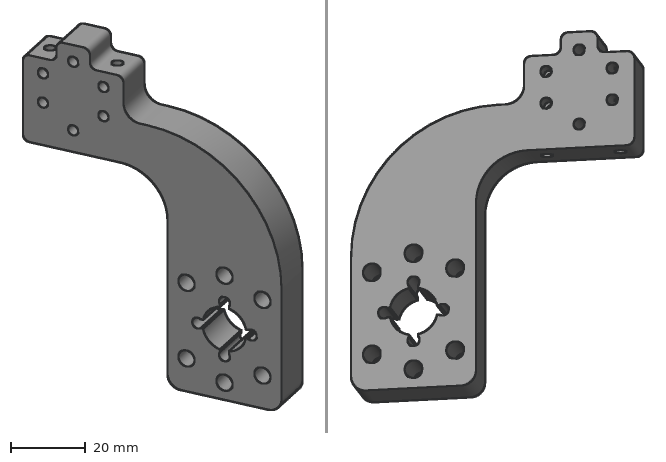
import cadquery as cq
import math

total_length = 77.05
total_height = 96.0
thickness = 12.7

head_width = 30.0
head_bottom = 64.0
tab_width = 10.0
tab_height = 6.0
head_radius = 2.0

leg_width = 34.0
arm_top = 77.0
outer_bend_radius = 40.0
inner_bend_radius = 14.0
neck_radius = 5.0
foot_radius = 4.0

head_hole_diameter = 3.0
head_hole_spacing = 18.0
head_hole_upper_z = 85.5
head_hole_lower_z = 76.75
tab_hole_z = 91.0
bottom_hole_z = 70.5
cross_hole_diameter = 3.2
cross_hole_spacing = 20.0

pattern_z = 21.2
bolt_circle_radius = 16.0
bolt_hole_diameter = 4.8
bolt_angles = (45, 90, 135, 225, 270, 315)
bore_diameter = 13.0
lobe_diameter = 3.2
lobe_circle_radius = 8.0
lobe_neck_width = 2.6
lobe_count = 4

head_center_x = head_width / 2
shoulder_z = total_height - tab_height
tab_left = head_center_x - tab_width / 2
tab_right = head_center_x + tab_width / 2
leg_left = total_length - leg_width
leg_center_x = total_length - leg_width / 2
outer_bend_x = total_length - outer_bend_radius
outer_bend_z = arm_top - outer_bend_radius
inner_bend_x = leg_left - inner_bend_radius
inner_bend_z = head_bottom - inner_bend_radius
diagonal = math.sqrt(0.5)


def round_edges(body, corners, radius):
    """Fillet the edges along Y that pass through the given XZ corners."""
    for x, z in corners:
        selector = cq.selectors.NearestToPointSelector((x, 0, z))
        body = body.edges("|Y").edges(selector).fillet(radius)
    return body


def cylinder_y(x, z, diameter):
    """Cylinder along Y through the full thickness, centred on Y = 0."""
    profile = cq.Workplane("XZ").center(x, z).circle(diameter / 2)
    return profile.extrude(thickness / 2, both=True)


def make_plate():
    outline = (
        cq.Workplane("XZ")
        .moveTo(0, head_bottom)
        .lineTo(0, shoulder_z)
        .lineTo(tab_left, shoulder_z)
        .lineTo(tab_left, total_height)
        .lineTo(tab_right, total_height)
        .lineTo(tab_right, shoulder_z)
        .lineTo(head_width, shoulder_z)
        .lineTo(head_width, arm_top)
        .lineTo(outer_bend_x, arm_top)
        .threePointArc(
            (
                outer_bend_x + outer_bend_radius * diagonal,
                outer_bend_z + outer_bend_radius * diagonal,
            ),
            (total_length, outer_bend_z),
        )
        .lineTo(total_length, 0)
        .lineTo(leg_left, 0)
        .lineTo(leg_left, inner_bend_z)
        .threePointArc(
            (
                inner_bend_x + inner_bend_radius * diagonal,
                inner_bend_z + inner_bend_radius * diagonal,
            ),
            (inner_bend_x, head_bottom),
        )
        .close()
    )
    plate = outline.extrude(thickness / 2, both=True)
    head_corners = [
        (0, head_bottom),
        (0, shoulder_z),
        (tab_left, shoulder_z),
        (tab_left, total_height),
        (tab_right, total_height),
        (tab_right, shoulder_z),
        (head_width, shoulder_z),
    ]
    plate = round_edges(plate, head_corners, head_radius)
    plate = round_edges(plate, [(head_width, arm_top)], neck_radius)
    return round_edges(plate, [(leg_left, 0), (total_length, 0)], foot_radius)


def cut_head_holes(body):
    places = [(head_center_x, tab_hole_z), (head_center_x, bottom_hole_z)]
    for side in (-1, 1):
        x = head_center_x + side * head_hole_spacing / 2
        places.append((x, head_hole_upper_z))
        places.append((x, head_hole_lower_z))
    for x, z in places:
        body = body.cut(cylinder_y(x, z, head_hole_diameter))
    return body


def cut_cross_holes(body):
    """Vertical holes from the head shoulders down through its underside."""
    drills = (
        cq.Workplane("XY")
        .workplane(offset=head_bottom)
        .pushPoints([
            (head_center_x - cross_hole_spacing / 2, 0),
            (head_center_x + cross_hole_spacing / 2, 0),
        ])
        .circle(cross_hole_diameter / 2)
        .extrude(shoulder_z - head_bottom)
    )
    return body.cut(drills)


def cut_bolt_holes(body):
    for angle in bolt_angles:
        x = leg_center_x + bolt_circle_radius * math.cos(math.radians(angle))
        z = pattern_z + bolt_circle_radius * math.sin(math.radians(angle))
        body = body.cut(cylinder_y(x, z, bolt_hole_diameter))
    return body


def cut_lobed_bore(body):
    """Central bore with round lobes joined to it by narrower necks."""
    body = body.cut(cylinder_y(leg_center_x, pattern_z, bore_diameter))
    for index in range(lobe_count):
        angle = math.radians(index * 360 / lobe_count)
        dx = lobe_circle_radius * math.cos(angle)
        dz = lobe_circle_radius * math.sin(angle)
        body = body.cut(cylinder_y(leg_center_x + dx, pattern_z + dz, lobe_diameter))
        neck = (
            cq.Workplane("XZ")
            .center(leg_center_x + dx / 2, pattern_z + dz / 2)
            .transformed(rotate=(0, 0, math.degrees(angle)))
            .rect(lobe_circle_radius, lobe_neck_width)
            .extrude(thickness / 2, both=True)
        )
        body = body.cut(neck)
    return body


result = make_plate()
result = cut_head_holes(result)
result = cut_cross_holes(result)
result = cut_bolt_holes(result)
result = cut_lobed_bore(result)